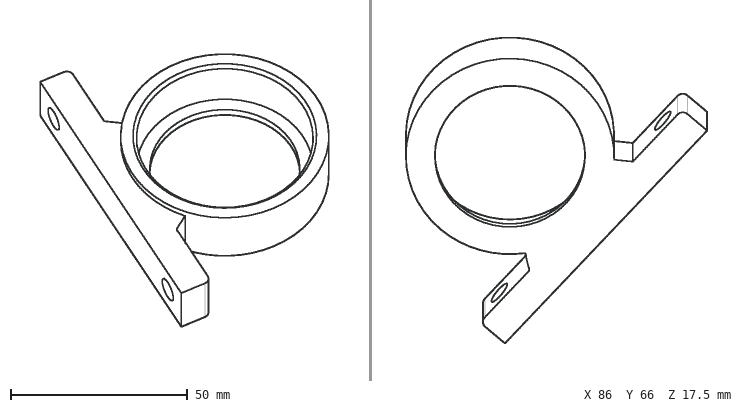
import cadquery as cq
import math

foot_length = 86.0
foot_depth = 9.5
foot_height = 15.5
foot_corner_radius = 2.0

bolt_hole_diameter = 6.7
bolt_hole_spacing = 69.5

ring_diameter = 59.0
ring_height = 17.5
ring_axis_y = 36.5

seat_diameter = 50.0
lip_diameter = 42.5
lip_thickness = 2.5
seat_chamfer = 1.0

web_foot_half_width = 22.0
web_ring_half_width = 18.9


def make_foot():
    foot = cq.Workplane("XY").box(foot_length, foot_depth, foot_height, centered=(True, False, False))
    return foot.edges("|Z and >Y").fillet(foot_corner_radius)


def make_web():
    ring_radius = ring_diameter / 2
    web_ring_y = ring_axis_y - math.sqrt(ring_radius**2 - web_ring_half_width**2)
    outline = [
        (-web_foot_half_width, foot_depth),
        (web_foot_half_width, foot_depth),
        (web_ring_half_width, web_ring_y),
        (-web_ring_half_width, web_ring_y),
    ]
    return cq.Workplane("XY").polyline(outline).close().extrude(foot_height)


def make_ring():
    return cq.Workplane("XY").center(0, ring_axis_y).circle(ring_diameter / 2).extrude(ring_height)


def cut_stepped_bore(body):
    lip_radius = lip_diameter / 2
    seat_radius = seat_diameter / 2
    half_section = [
        (0, 0),
        (lip_radius, 0),
        (lip_radius, lip_thickness),
        (seat_radius, lip_thickness),
        (seat_radius, ring_height - seat_chamfer),
        (seat_radius + seat_chamfer, ring_height),
        (0, ring_height),
    ]
    bore_plane = cq.Workplane("XZ", origin=(0, ring_axis_y, 0))
    bore = bore_plane.polyline(half_section).close().revolve(360, (0, 0), (0, 1))
    return body.cut(bore)


def cut_bolt_holes(body):
    for side in (-1, 1):
        hole_plane = cq.Workplane("XZ", origin=(side * bolt_hole_spacing / 2, 0, foot_height / 2))
        hole = hole_plane.circle(bolt_hole_diameter / 2).extrude(-foot_depth)
        body = body.cut(hole)
    return body


body = make_foot().union(make_web()).union(make_ring())
result = cut_bolt_holes(cut_stepped_bore(body))